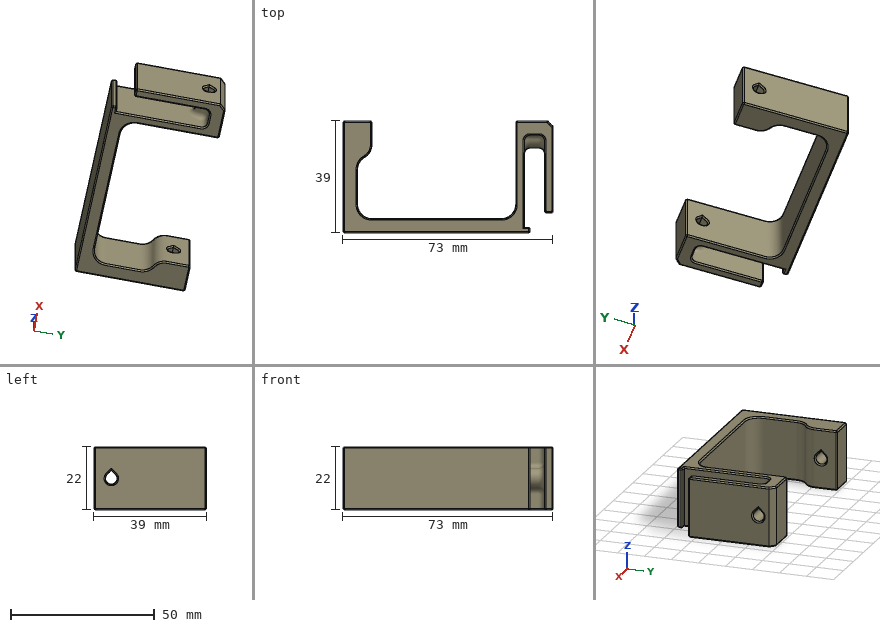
import cadquery as cq
import math

LENGTH = 73.0
DEPTH = 39.0
HEIGHT = 22.0
EDGE_CHAMFER = 0.5

WALL = 5.0
LEFT_ARM_HEAD = 10.0
RIGHT_ARM_INNER_X = 60.0
CORNER_RADIUS = 5.0
BEND_ANGLE = math.radians(60)
BEND_START_Y = 22.0

RIGHT_ARM_WALL = 3.0
CLIP_WALL = 3.0
CLIP_END_Y = 7.0
CLIP_CORNER_CHAMFER = 2.0
SLOT_END_Y = 34.0
SLOT_RADIUS = 2.0
FOOT_OVERHANG = 2.0
FOOT_THICKNESS = 2.0

SLOT_LEFT_X = RIGHT_ARM_INNER_X + RIGHT_ARM_WALL
SLOT_RIGHT_X = LENGTH - CLIP_WALL
FOOT_END_X = SLOT_LEFT_X + FOOT_OVERHANG

HOLE_RADIUS = 2.0
HOLE_Y = 33.0
HOLE_Z = HEIGHT / 2
BOSS_RADIUS = 3.5

SELECT_MARGIN = 0.1


def s_bend(sketch):
    """Continue from the thick head of the left arm to its thin wall with two equal arcs."""
    rise = CORNER_RADIUS * math.sin(BEND_ANGLE)
    middle = (LEFT_ARM_HEAD + WALL) / 2
    return (
        sketch.lineTo(LEFT_ARM_HEAD, BEND_START_Y + 2 * rise)
        .radiusArc((middle, BEND_START_Y + rise), CORNER_RADIUS)
        .radiusArc((WALL, BEND_START_Y), -CORNER_RADIUS)
    )


def vertical_edges(body, points):
    """Select the vertical edges that pass through the given XY points."""
    picked = body.newObject([])
    for x, y in points:
        picked = picked.add(body.edges(cq.selectors.NearestToPointSelector((x, y, HEIGHT / 2))))
    return picked


def make_bracket():
    sketch = cq.Workplane("XY").moveTo(0, 0).lineTo(0, DEPTH).lineTo(LEFT_ARM_HEAD, DEPTH)
    sketch = s_bend(sketch)
    outline = (
        sketch.lineTo(WALL, WALL)
        .lineTo(RIGHT_ARM_INNER_X, WALL)
        .lineTo(RIGHT_ARM_INNER_X, DEPTH)
        .lineTo(LENGTH, DEPTH)
        .lineTo(LENGTH, CLIP_END_Y)
        .lineTo(SLOT_RIGHT_X, CLIP_END_Y)
        .lineTo(SLOT_RIGHT_X, SLOT_END_Y)
        .lineTo(SLOT_LEFT_X, SLOT_END_Y)
        .lineTo(SLOT_LEFT_X, FOOT_THICKNESS)
        .lineTo(FOOT_END_X, FOOT_THICKNESS)
        .lineTo(FOOT_END_X, 0)
        .close()
    )
    body = outline.extrude(HEIGHT)

    floor_corners = [(WALL, WALL), (RIGHT_ARM_INNER_X, WALL)]
    slot_corners = [(SLOT_LEFT_X, SLOT_END_Y), (SLOT_RIGHT_X, SLOT_END_Y)]
    clip_corner = [(LENGTH, DEPTH)]
    outer_corners = [
        (0, 0),
        (0, DEPTH),
        (LEFT_ARM_HEAD, DEPTH),
        (RIGHT_ARM_INNER_X, DEPTH),
        (LENGTH, CLIP_END_Y),
        (SLOT_RIGHT_X, CLIP_END_Y),
        (FOOT_END_X, FOOT_THICKNESS),
        (FOOT_END_X, 0),
    ]
    body = vertical_edges(body, floor_corners).fillet(CORNER_RADIUS)
    body = vertical_edges(body, slot_corners).fillet(SLOT_RADIUS)
    body = vertical_edges(body, clip_corner).chamfer(CLIP_CORNER_CHAMFER)
    body = vertical_edges(body, outer_corners).chamfer(EDGE_CHAMFER)
    return body.faces("<Z or >Z").edges().chamfer(EDGE_CHAMFER)


def make_slot_boss():
    """Swelling of the slot end around the hole, blended into the slot's end and sides."""
    blend_y = SLOT_END_Y - SLOT_RADIUS
    blend_distance = BOSS_RADIUS + SLOT_RADIUS
    half_height = math.sqrt(blend_distance**2 - (HOLE_Y - blend_y) ** 2)
    ratio = BOSS_RADIUS / blend_distance
    meet_y = HOLE_Y - ratio * (HOLE_Y - blend_y)
    meet_dz = ratio * half_height
    tip_y = HOLE_Y - BOSS_RADIUS
    block_y = tip_y - SLOT_RADIUS
    open_y = block_y - SLOT_RADIUS

    slot_width = SLOT_RIGHT_X - SLOT_LEFT_X
    slot_space = (
        cq.Workplane("YZ", origin=(SLOT_LEFT_X, 0, 0))
        .moveTo(open_y, 0)
        .lineTo(SLOT_END_Y, 0)
        .lineTo(SLOT_END_Y, HOLE_Z - half_height)
        .radiusArc((meet_y, HOLE_Z - meet_dz), -SLOT_RADIUS)
        .threePointArc((tip_y, HOLE_Z), (meet_y, HOLE_Z + meet_dz))
        .radiusArc((SLOT_END_Y, HOLE_Z + half_height), -SLOT_RADIUS)
        .lineTo(SLOT_END_Y, HEIGHT)
        .lineTo(open_y, HEIGHT)
        .close()
        .extrude(slot_width)
    )
    end_edges = cq.selectors.BoxSelector(
        (SLOT_LEFT_X - SELECT_MARGIN, block_y, SELECT_MARGIN),
        (SLOT_RIGHT_X + SELECT_MARGIN, SLOT_END_Y + SELECT_MARGIN, HEIGHT - SELECT_MARGIN),
    )
    slot_space = slot_space.faces("<X or >X").edges(end_edges).fillet(SLOT_RADIUS)
    block = (
        cq.Workplane("XY", origin=(SLOT_LEFT_X, block_y, HOLE_Z - half_height))
        .box(slot_width, SLOT_END_Y - block_y, 2 * half_height, centered=False)
    )
    return block.cut(slot_space)


def teardrop(plane, radius):
    """Circle with a 90-degree roof pointing up, centred on the hole axis."""
    shoulder = radius * math.sqrt(0.5)
    return (
        plane.moveTo(-shoulder, shoulder)
        .threePointArc((0, -radius), (shoulder, shoulder))
        .lineTo(0, radius * math.sqrt(2))
        .close()
    )


def hole_plane(x):
    return cq.Workplane("YZ", origin=(x, HOLE_Y, HOLE_Z))


def make_hole(start_x, end_x):
    """Teardrop hole between two faces, chamfered at both mouths."""
    hole = teardrop(hole_plane(start_x), HOLE_RADIUS).extrude(end_x - start_x)
    for mouth_x, inward in ((start_x, EDGE_CHAMFER), (end_x, -EDGE_CHAMFER)):
        mouth = teardrop(hole_plane(mouth_x), HOLE_RADIUS + EDGE_CHAMFER)
        inner = mouth.workplane(offset=inward)
        hole = hole.union(teardrop(inner, HOLE_RADIUS).loft(ruled=True))
    return hole


result = (
    make_bracket()
    .union(make_slot_boss())
    .cut(make_hole(0, LEFT_ARM_HEAD))
    .cut(make_hole(RIGHT_ARM_INNER_X, LENGTH))
)